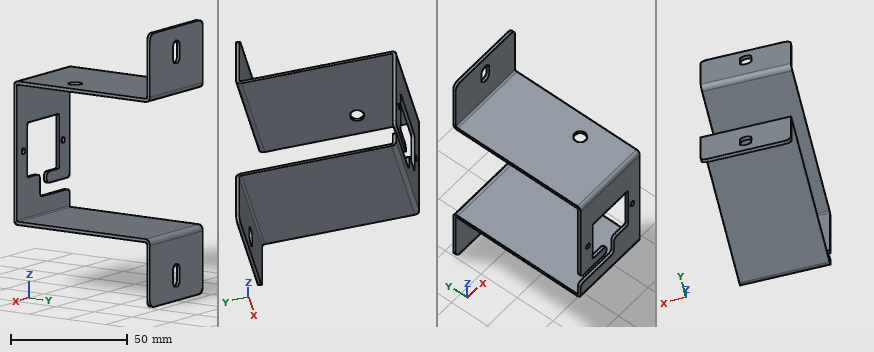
import cadquery as cq

width = 40.0
depth = 71.0
height = 120.0
inner_height = 60.0
outer_height = 63.0
sheet = (outer_height - inner_height) / 2
front_bend_radius = 2.0
flange_bend_radius = 2.5
flange_corner_radius = 3.0

slot_width = 5.0
slot_length = 10.0
slot_height = 49.0

window_size = 24.0
window_corner_radius = 1.0
screw_diameter = 2.5
screw_spacing = 30.0
gap = 5.0
tab_height = 5.0
gap_corner_radius = 2.0

wall_hole_diameter = 6.0
wall_hole_x = 10.0
wall_hole_y = 25.0

CUT_MARGIN = 1.2


def half_profile():
    """Upper half of the bent sheet, seen along X, as a solid with bent corners."""
    wall_top = outer_height / 2
    wall_bottom = inner_height / 2
    half = (
        cq.Workplane("YZ")
        .polyline([
            (0, 0),
            (0, wall_top),
            (depth - sheet, wall_top),
            (depth - sheet, height / 2),
            (depth, height / 2),
            (depth, wall_bottom),
            (sheet, wall_bottom),
            (sheet, 0),
        ])
        .close()
        .extrude(width / 2, both=True)
    )
    bends = [
        (0, wall_top, front_bend_radius),
        (sheet, wall_bottom, front_bend_radius - sheet),
        (depth, wall_bottom, flange_bend_radius),
        (depth - sheet, wall_top, flange_bend_radius - sheet),
    ]
    for y, z, radius in bends:
        half = half.edges(cq.NearestToPointSelector((0, y, z))).fillet(radius)
    for x in (-width / 2, width / 2):
        corner = cq.NearestToPointSelector((x, depth - sheet / 2, height / 2))
        half = half.edges(corner).fillet(flange_corner_radius)
    return half


def flange_slots():
    return (
        cq.Workplane("XZ", origin=(0, depth + CUT_MARGIN, 0))
        .pushPoints([(0, slot_height), (0, -slot_height)])
        .slot2D(slot_length, slot_width, 90)
        .extrude(sheet + 2 * CUT_MARGIN)
    )


def front_plane():
    """Plane just behind the front panel, so that extrusions run forward through it."""
    return cq.Workplane("XZ", origin=(0, sheet + CUT_MARGIN, 0))


def screw_holes():
    return (
        front_plane()
        .pushPoints([(-screw_spacing / 2, 0), (screw_spacing / 2, 0)])
        .circle(screw_diameter / 2)
        .extrude(sheet + 2 * CUT_MARGIN)
    )


def window_with_gap(panel):
    """Cut the square window and the L-shaped gap from it to the left edge."""
    half_window = window_size / 2
    tab_bottom = -half_window - tab_height
    gap_bottom = tab_bottom - gap
    left = -width / 2
    cutter = (
        front_plane()
        .polyline([
            (-half_window, half_window),
            (half_window, half_window),
            (half_window, -half_window),
            (gap / 2, -half_window),
            (gap / 2, gap_bottom),
            (left - CUT_MARGIN, gap_bottom),
            (left - CUT_MARGIN, tab_bottom),
            (-gap / 2, tab_bottom),
            (-gap / 2, -half_window),
            (-half_window, -half_window),
        ])
        .close()
        .extrude(sheet + 2 * CUT_MARGIN)
    )
    panel = panel.cut(cutter)
    corners = [(x, z, window_corner_radius)
               for x in (-half_window, half_window)
               for z in (-half_window, half_window)]
    corners += [(x, z, gap_corner_radius) for x, z in (
        (gap / 2, -half_window),
        (gap / 2, gap_bottom),
        (-gap / 2, -half_window),
        (-gap / 2, tab_bottom),
        (left, tab_bottom),
        (left, gap_bottom),
    )]
    for x, z, radius in corners:
        corner = cq.NearestToPointSelector((x, sheet / 2, z))
        panel = panel.edges("|Y").edges(corner).fillet(radius)
    return panel


def wall_hole():
    return (
        cq.Workplane("XY", origin=(wall_hole_x, wall_hole_y, inner_height / 2 - CUT_MARGIN))
        .circle(wall_hole_diameter / 2)
        .extrude(sheet + 2 * CUT_MARGIN)
    )


upper_half = half_profile()
bracket = upper_half.union(upper_half.mirror("XY")).clean()
bracket = window_with_gap(bracket)
result = bracket.cut(flange_slots()).cut(screw_holes()).cut(wall_hole())